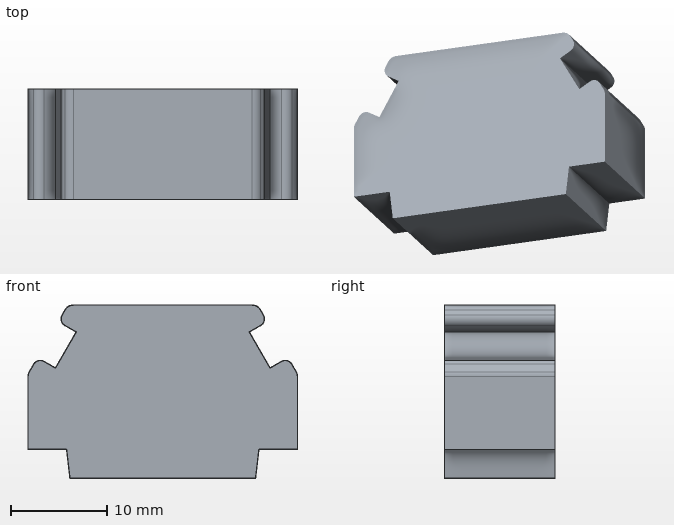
import cadquery as cq
import math

width = 28.0
depth = 11.5
height = 18.0

foot_height = 3.0
foot_top_width = 20.0
foot_bottom_width = 19.3

flank_angle = math.radians(60.0)
groove_floor_top_x = 9.0
groove_floor_top_z = 15.19
groove_width = 4.3
groove_depth = 2.15

flank_end_radius = 1.0
lip_radius = 0.8

half_width = width / 2
flank_cos = math.cos(flank_angle)
flank_sin = math.sin(flank_angle)


def flank_point(down, out):
    """Point on the right side, measured down the groove floor and out from it."""
    x = groove_floor_top_x + down * flank_cos + out * flank_sin
    z = groove_floor_top_z - down * flank_sin + out * flank_cos
    return (x, z)


floor_top = flank_point(0, 0)
floor_bottom = flank_point(groove_width, 0)
upper_lip = flank_point(0, groove_depth)
lower_lip = flank_point(groove_width, groove_depth)

flank_top = (upper_lip[0] - (height - upper_lip[1]) * flank_cos / flank_sin, height)
flank_bottom = (half_width, lower_lip[1] - (half_width - lower_lip[0]) * flank_sin / flank_cos)


def make_body():
    """Extrude the mirror-symmetric outline along Y, with all corners sharp."""
    right_half = [
        (foot_bottom_width / 2, 0),
        (foot_top_width / 2, foot_height),
        (half_width, foot_height),
        flank_bottom,
        lower_lip,
        floor_bottom,
        floor_top,
        upper_lip,
        flank_top,
    ]
    left_half = [(-x, z) for x, z in reversed(right_half)]
    outline = cq.Workplane("XZ").polyline(right_half + left_half).close()
    return outline.extrude(depth / 2, both=True)


def round_corner(body, corner, radius):
    """Fillet the lengthwise edge at an outline corner and its mirror image."""
    x, z = corner
    for side in (-1, 1):
        edge = cq.selectors.NearestToPointSelector((side * x, 0, z))
        body = body.edges("|Y").edges(edge).fillet(radius)
    return body


result = make_body()
for end_corner in (flank_top, flank_bottom):
    result = round_corner(result, end_corner, flank_end_radius)
for lip_corner in (upper_lip, lower_lip):
    result = round_corner(result, lip_corner, lip_radius)